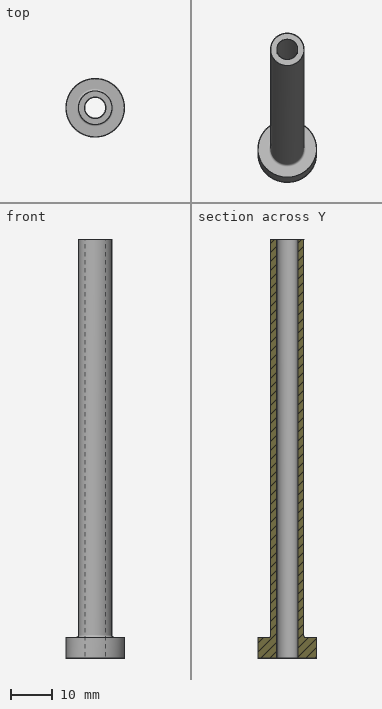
import cadquery as cq

total_length = 100.0
head_diameter = 14.0
head_height = 5.0
shank_diameter = 8.0
bore_diameter = 5.0
fillet_radius = 0.5


def ejector_sleeve():
    """Flanged sleeve standing on its head, shank pointing along +Z."""
    head = cq.Workplane("XY").circle(head_diameter / 2).extrude(head_height)
    shank = cq.Workplane("XY").circle(shank_diameter / 2).extrude(total_length)
    return head.union(shank)


def round_shank_root(body):
    """Fillet the inner corner where the shank meets the head."""
    root_edge = cq.selectors.RadiusNthSelector(0)
    root_face = body.faces(cq.selectors.NearestToPointSelector((0, 0, head_height)))
    return root_face.edges(root_edge).fillet(fillet_radius)


def through_bore():
    """Straight bore along the full length of the sleeve."""
    return cq.Workplane("XY").circle(bore_diameter / 2).extrude(total_length)


result = round_shank_root(ejector_sleeve()).cut(through_bore())